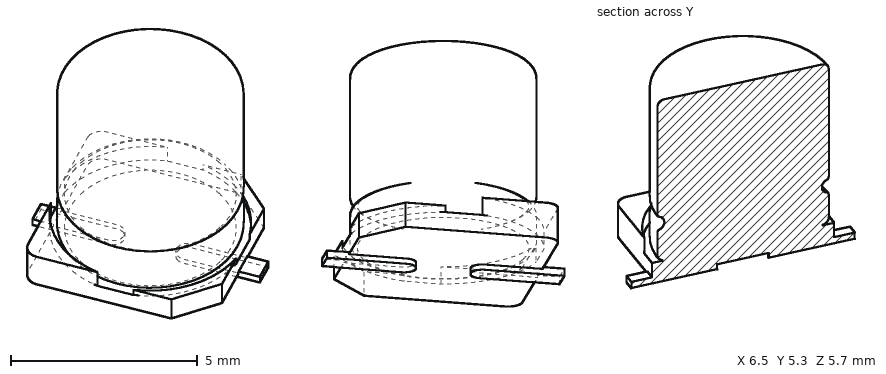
import cadquery as cq
import math

can_radius = 5.0 / 2
can_top = 5.7
can_bottom = 0.655
rim_radius = 0.2

groove_height = 1.845
groove_radius = 0.2
lip_radius = 0.1

base_size = 5.3
base_bottom = 0.15
base_high_top = 1.15
base_low_top = 0.845
base_chamfer = 1.05
base_corner_radius = 0.4
recess_radius = 2.7

terminal_reach = 3.25
terminal_inner_end = 0.75
terminal_width = 0.65
terminal_thickness = 0.21


def make_base():
    """Square base with a lower +X half and a round recess that breaks through each side."""
    base = (
        cq.Workplane("XY", origin=(0, 0, base_bottom))
        .rect(base_size, base_size)
        .extrude(base_high_top - base_bottom)
    )
    base = base.edges("|Z and >X").chamfer(base_chamfer)
    base = base.edges("|Z and <X").fillet(base_corner_radius)
    low_half = (
        cq.Workplane("XY", origin=(base_size / 2, 0, base_low_top))
        .rect(base_size, base_size)
        .extrude(base_high_top - base_low_top)
    )
    recess = (
        cq.Workplane("XY", origin=(0, 0, can_bottom))
        .circle(recess_radius)
        .extrude(base_high_top - can_bottom)
    )
    return base.cut(low_half).cut(recess)


def make_can():
    """Revolved can with rounded rims and a curved crimp groove."""
    rim_inset = rim_radius * (1 - 0.5 ** 0.5)
    rim_start = can_radius - rim_radius
    lip_center_radius = can_radius - lip_radius
    lip_offset = math.sqrt((groove_radius + lip_radius) ** 2 - lip_radius**2)
    touch_ratio = groove_radius / (groove_radius + lip_radius)
    touch_radius = can_radius - lip_radius * touch_ratio
    touch_offset = lip_offset * touch_ratio
    half_sweep = math.atan2(lip_offset, lip_radius) / 2
    lip_mid_radius = lip_center_radius + lip_radius * math.cos(half_sweep)
    lip_mid_offset = lip_offset - lip_radius * math.sin(half_sweep)
    profile = (
        cq.Workplane("XZ")
        .moveTo(0, can_bottom)
        .lineTo(rim_start, can_bottom)
        .threePointArc(
            (can_radius - rim_inset, can_bottom + rim_inset),
            (can_radius, can_bottom + rim_radius),
        )
        .lineTo(can_radius, groove_height - lip_offset)
        .threePointArc(
            (lip_mid_radius, groove_height - lip_mid_offset),
            (touch_radius, groove_height - touch_offset),
        )
        .threePointArc(
            (can_radius - groove_radius, groove_height),
            (touch_radius, groove_height + touch_offset),
        )
        .threePointArc(
            (lip_mid_radius, groove_height + lip_mid_offset),
            (can_radius, groove_height + lip_offset),
        )
        .lineTo(can_radius, can_top - rim_radius)
        .threePointArc(
            (can_radius - rim_inset, can_top - rim_inset),
            (rim_start, can_top),
        )
        .lineTo(0, can_top)
        .close()
    )
    return profile.revolve(360, (0, 0, 0), (0, 1, 0))


def make_terminal(side):
    """Flat terminal with a round inner end; side is -1 or +1 along X."""
    half_width = terminal_width / 2
    round_center = terminal_inner_end + half_width
    return (
        cq.Workplane("XY")
        .moveTo(side * terminal_reach, -half_width)
        .lineTo(side * round_center, -half_width)
        .threePointArc((side * terminal_inner_end, 0), (side * round_center, half_width))
        .lineTo(side * terminal_reach, half_width)
        .close()
        .extrude(terminal_thickness)
    )


result = make_base().union(make_can())
for side in (-1, 1):
    result = result.union(make_terminal(side))